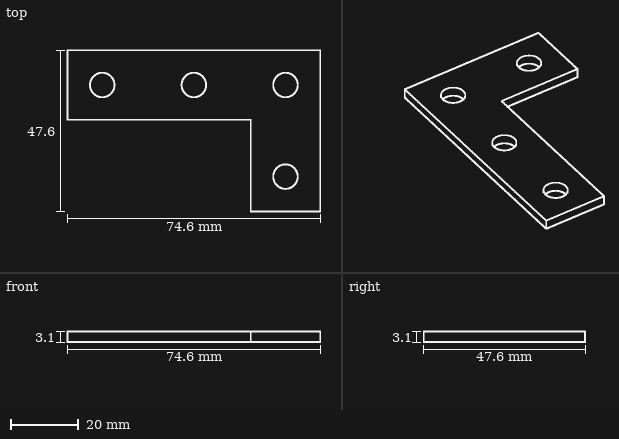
import cadquery as cq

length = 74.6
hole_pitch = 27.0
thickness = 3.1
hole_diameter = 7.15

arm_width = length - 2 * hole_pitch
depth = arm_width + hole_pitch
edge_distance = arm_width / 2

plate = (
    cq.Workplane("XY")
    .moveTo(0, depth)
    .lineTo(length, depth)
    .lineTo(length, 0)
    .lineTo(length - arm_width, 0)
    .lineTo(length - arm_width, depth - arm_width)
    .lineTo(0, depth - arm_width)
    .close()
    .extrude(thickness)
)

corner_x = length - edge_distance
corner_y = depth - edge_distance
hole_centers = [(corner_x - i * hole_pitch, corner_y) for i in range(3)]
hole_centers.append((corner_x, corner_y - hole_pitch))

holes = (
    cq.Workplane("XY")
    .pushPoints(hole_centers)
    .circle(hole_diameter / 2)
    .extrude(thickness)
)

result = plate.cut(holes)